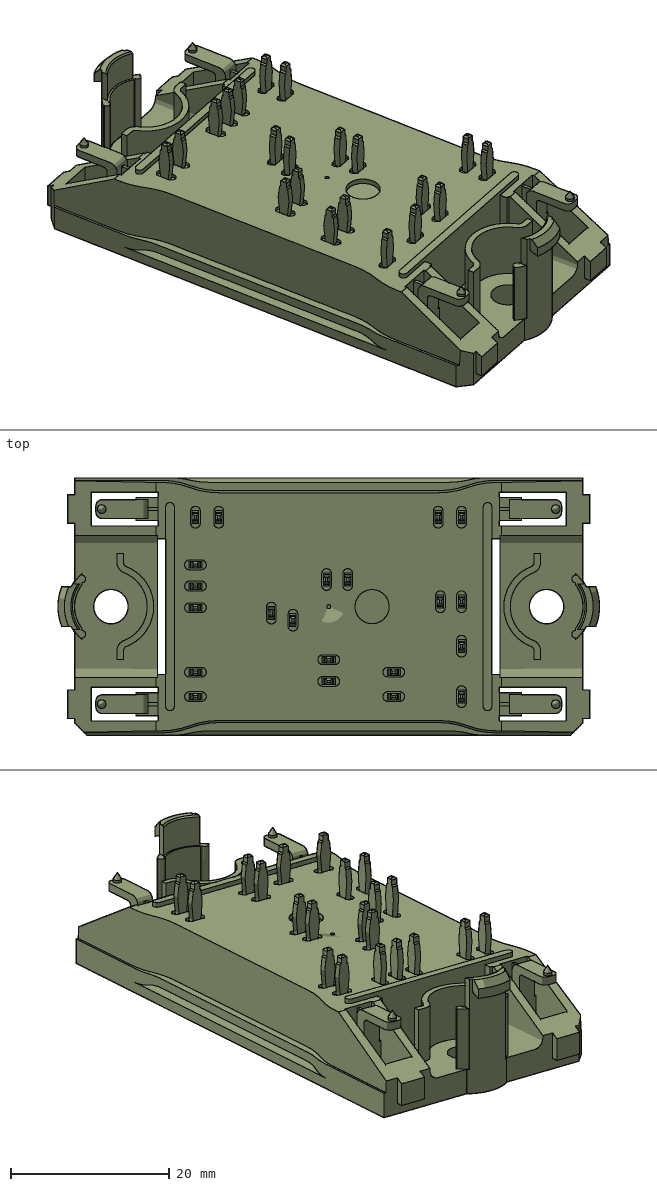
import cadquery as cq
import math

total_length = 68.4
total_height = 16.2

plate_length, plate_width, plate_thickness = 38.3, 27.2, 0.2

base_length, base_width = 64.15, 32.5
base_top = 3.55
deck_top = 11.15
deck_half_length = 21.8
end_height = 5.1
corner_cut_size = 1.6

upper_half_width = 15.95
waist_half_width = 14.65
waist_start_x, waist_end_x = 21.1, 13.9
side_draft = 2.0

flange_recess_half_length = 19.85
flange_waist_start_x, flange_waist_end_x = 19.85, 15.25
flange_waist_depth = 0.55
flange_recess_floor = 1.65
flange_floor_rise = 0.7

tab_reach = 33.0
tab_bottom = 1.65
tab_width = 3.6
corner_feature_y = 12.3

channel_half_width = 8.95
channel_fillet = 1.3
slot_half_width = 8.55
slot_outer_x, slot_inner_x = 21.6, 20.6
pocket_outer_x, pocket_inner_x = 29.95, 21.55
pocket_width = 4.25

mount_x = 27.5
mount_hole_diameter = 4.3

guard_radius = 5.0
guard_thickness = 0.8
guard_bend_radius = 1.0
guard_tail_x, guard_tail_y = 26.3, 6.7
guard_top = 10.8

clip_inner_radius, clip_outer_radius = 4.85, 5.6
clip_hook_radius = total_length / 2 - mount_x
clip_half_width, clip_foot_half_width = 2.9, 3.15
clip_top = 15.9
hook_half_width = 2.5
hook_root, hook_bottom, hook_shoulder = 14.1, 13.6, 14.9
hook_lead_in = 0.8
clip_edge_chamfer = 0.2
wing_radius = 5.05
wing_half_span = 3.5
wing_thickness = 0.95
wing_top = 11.75

arm_tip_x, arm_heel_x = 29.4, 22.85
arm_width = 2.4
arm_bottom, arm_top = 10.45, 11.55
arm_tip_fillet = 0.8
arm_bend_outer, arm_bend_inner = 1.1, 0.55
leg_outer_x = 24.35
leg_width = 2.95
foot_top = 6.85
stem_thickness, stem_top = 0.4, 10.8
nub_x = 28.65
nub_diameter = 1.1
nub_shoulder, nub_top = 11.9, 12.8

strip_outer_x, strip_width = 20.6, 1.1
strip_length, strip_height = 26.25, 0.6

recess_x, recess_diameter, recess_depth = 5.5, 4.3, 0.7
dimple_diameter, dimple_depth = 4.1, 0.4
gate_diameter, gate_depth = 0.5, 0.3

pin_thickness = 0.8
pin_root_width, pin_bulge_width = 1.2, 1.65
pin_neck_width, pin_tip_width = 0.9, 0.5
pin_bulge_z, pin_shoulder_z, pin_neck_z, pin_tip_z = 13.35, 15.05, 15.25, 15.95
pin_slot_length, pin_slot_width, pin_slot_depth = 2.75, 1.2, 0.4

pins_along_x = [
    (-16.8, 5.3), (-16.8, 2.6), (-16.8, -0.15), (-16.8, -8.3), (-16.8, -11.35),
    (0, -6.7), (0, -9.45), (8.2, -8.3), (8.2, -11.35),
]
pins_along_y = [
    (-16.8, 11.3), (-13.9, 11.3), (13.8, 11.3), (16.75, 11.3), (-0.3, 3.4), (2.4, 3.4),
    (-7.25, -0.8), (-4.5, -1.7), (14.1, 0.6), (16.75, 0.6), (16.75, -5.0), (16.75, -11.35),
]


def block(x_range, y_range, z_range):
    """Axis-aligned block between two limits on each axis."""
    spans = (x_range, y_range, z_range)
    size = [high - low for low, high in spans]
    corner = tuple(low for low, high in spans)
    return cq.Workplane("XY").box(*size, centered=False).translate(corner)


def both_ends(shape):
    """The shape together with its mirror image on the other end in X."""
    return shape.union(shape.mirror("YZ"))


def revolved(half_section, x, y):
    """Solid of revolution about a vertical axis from (radius, z) points."""
    return (
        cq.Workplane("XZ", origin=(x, y, 0))
        .polyline(half_section)
        .close()
        .revolve(360, (0, 0), (0, 1))
    )


def waisted_prism(half_length, wide_y, narrow_y, start_x, end_x, z_range, draft):
    """Block whose long sides narrow to a waist through pairs of tangent arcs."""
    bottom, top = z_range
    mid_x, mid_y = (start_x + end_x) / 2, (wide_y + narrow_y) / 2
    return (
        cq.Workplane("XY", origin=(0, 0, bottom))
        .moveTo(-half_length, 0)
        .lineTo(-half_length, wide_y)
        .lineTo(-start_x, wide_y)
        .tangentArcPoint((-mid_x, mid_y), relative=False)
        .tangentArcPoint((-end_x, narrow_y), relative=False)
        .lineTo(end_x, narrow_y)
        .tangentArcPoint((mid_x, mid_y), relative=False)
        .tangentArcPoint((start_x, wide_y), relative=False)
        .lineTo(half_length, wide_y)
        .lineTo(half_length, 0)
        .mirrorX()
        .extrude(top - bottom, taper=draft)
    )


def base_flange():
    """Lower slab, thinned along the middle of both long sides above a sloped floor."""
    slab = block(
        (-base_length / 2, base_length / 2), (-base_width / 2, base_width / 2), (plate_thickness, base_top)
    )
    edge_y = base_width / 2
    inner_y = edge_y - 2 * flange_waist_depth
    recess = (
        cq.Workplane("YZ", origin=(-flange_recess_half_length, 0, 0))
        .polyline([
            (edge_y, flange_recess_floor),
            (inner_y, flange_recess_floor + 2 * flange_floor_rise),
            (inner_y, base_top),
            (edge_y, base_top),
        ])
        .close()
        .extrude(2 * flange_recess_half_length)
    )
    recess = recess.union(recess.mirror("XZ"))
    kept = waisted_prism(
        base_length / 2, edge_y, edge_y - flange_waist_depth,
        flange_waist_start_x, flange_waist_end_x, (plate_thickness, base_top), 0,
    )
    return slab.cut(recess.cut(kept))


def end_slope(end_x):
    """Height of the sloped end faces at a distance from the middle."""
    steepness = (deck_top - end_height) / (base_length / 2 - deck_half_length)
    return deck_top - (end_x - deck_half_length) * steepness


def upper_body():
    """Drafted, waisted housing with its ends sloping down to the base."""
    body = waisted_prism(
        base_length, upper_half_width, waist_half_width,
        waist_start_x, waist_end_x, (base_top, deck_top), side_draft,
    )
    half = base_length / 2
    side_profile = (
        cq.Workplane("XZ", origin=(0, base_width / 2, 0))
        .polyline([
            (-half, base_top), (-half, end_height), (-deck_half_length, deck_top),
            (deck_half_length, deck_top), (half, end_height), (half, base_top),
        ])
        .close()
        .extrude(base_width)
    )
    return body.intersect(side_profile)


def end_tab(y):
    """Raised lug on the left end face whose top continues the end slope."""
    wall_x = base_length / 2
    return (
        cq.Workplane("XZ", origin=(0, y + tab_width / 2, 0))
        .polyline([
            (-wall_x, tab_bottom), (-tab_reach, tab_bottom),
            (-tab_reach, end_slope(tab_reach)), (-wall_x, end_height),
        ])
        .close()
        .extrude(tab_width)
    )


def end_openings():
    """Mounting channel, through slot, corner pockets and screw hole of the left end."""
    channel = block(
        (-base_length, -slot_outer_x), (-channel_half_width, channel_half_width), (base_top, total_height)
    )
    channel = channel.edges("|X and <Z").fillet(channel_fillet)
    slot = block((-slot_outer_x, -slot_inner_x), (-slot_half_width, slot_half_width), (0, total_height))
    openings = channel.union(slot)
    for y in (-corner_feature_y, corner_feature_y):
        openings = openings.union(block(
            (-pocket_outer_x, -pocket_inner_x),
            (y - pocket_width / 2, y + pocket_width / 2),
            (0, total_height),
        ))
    screw_hole = cq.Workplane("XY").center(-mount_x, 0).circle(mount_hole_diameter / 2).extrude(base_top)
    return openings.union(screw_hole)


def screw_guard():
    """Thin wall curving round the inner side of the screw hole, with straight tails."""
    bend_x = -guard_tail_x + guard_bend_radius
    centre_distance = guard_radius + guard_bend_radius
    bend_y = math.sqrt(centre_distance**2 - (bend_x + mount_x) ** 2)
    join_x = -mount_x + (bend_x + mount_x) * guard_radius / centre_distance
    join_y = bend_y * guard_radius / centre_distance
    path = (
        cq.Workplane("XY", origin=(0, 0, base_top))
        .moveTo(-guard_tail_x, guard_tail_y)
        .lineTo(-guard_tail_x, bend_y)
        .tangentArcPoint((join_x, join_y), relative=False)
        .threePointArc((-mount_x + guard_radius, 0), (join_x, -join_y))
        .tangentArcPoint((-guard_tail_x, -bend_y), relative=False)
        .lineTo(-guard_tail_x, -guard_tail_y)
    )
    height = guard_top - base_top
    return (
        cq.Workplane("XZ", origin=(-guard_tail_x, guard_tail_y, base_top))
        .center(0, height / 2)
        .rect(guard_thickness, height)
        .sweep(path)
    )


def snap_clip():
    """Upright curved latch on the end face, with an outward hook and lower side wings."""
    crest_radius = clip_hook_radius - hook_lead_in
    wall = revolved([
        (clip_inner_radius, plate_thickness),
        (clip_outer_radius, plate_thickness),
        (clip_outer_radius, clip_top),
        (clip_inner_radius + clip_edge_chamfer, clip_top),
        (clip_inner_radius, clip_top - clip_edge_chamfer),
    ], -mount_x, 0)
    hook = revolved([
        (clip_inner_radius + clip_edge_chamfer, hook_root),
        (clip_outer_radius, hook_root),
        (clip_hook_radius, hook_bottom),
        (clip_hook_radius, hook_shoulder),
        (crest_radius, clip_top),
        (clip_inner_radius + clip_edge_chamfer, clip_top),
    ], -mount_x, 0)

    def sector(half_width, z_range):
        """Block that keeps the outward middle part of a ring round the screw hole."""
        return block((-total_length / 2, -mount_x), (-half_width, half_width), z_range)

    full_height = (0, total_height)
    latch = wall.intersect(sector(clip_half_width, full_height))
    latch = latch.union(wall.intersect(sector(clip_foot_half_width, (0, base_top))))
    latch = latch.union(hook.intersect(sector(hook_half_width, full_height)))

    tip_x = -mount_x - math.sqrt(wing_radius**2 - wing_half_span**2)
    height = wing_top - base_top
    wings = (
        cq.Workplane("XY", origin=(-mount_x, 0, base_top))
        .circle(wing_radius + wing_thickness / 2)
        .circle(wing_radius - wing_thickness / 2)
        .extrude(height)
        .intersect(block((-total_length / 2, tip_x), (-base_width, base_width), (0, total_height)))
    )
    tips = (
        cq.Workplane("XY", origin=(tip_x, 0, base_top))
        .pushPoints([(0, -wing_half_span), (0, wing_half_span)])
        .circle(wing_thickness / 2)
        .extrude(height)
    )
    return latch.union(wings).union(tips)


def spring_arm(y):
    """Bent cantilever arm over a corner pocket, with a pointed nub on its tip."""
    side = cq.Workplane("XZ", origin=(0, y + arm_width / 2, 0))
    arm = (
        side.moveTo(-arm_tip_x, arm_bottom)
        .lineTo(-arm_tip_x, arm_top)
        .lineTo(-arm_heel_x - arm_bend_outer, arm_top)
        .radiusArc((-arm_heel_x, arm_top - arm_bend_outer), arm_bend_outer)
        .lineTo(-arm_heel_x, plate_thickness)
        .lineTo(-leg_outer_x, plate_thickness)
        .lineTo(-leg_outer_x, arm_bottom - arm_bend_inner)
        .radiusArc((-leg_outer_x - arm_bend_inner, arm_bottom), -arm_bend_inner)
        .close()
        .extrude(arm_width)
        .edges("|Z and <X")
        .fillet(arm_tip_fillet)
    )
    foot = block(
        (-leg_outer_x, -pocket_inner_x), (y - leg_width / 2, y + leg_width / 2), (plate_thickness, foot_top)
    )
    stem = block(
        (-arm_heel_x, -pocket_inner_x),
        (y - stem_thickness / 2, y + stem_thickness / 2),
        (foot_top, stem_top),
    )
    nub_radius = nub_diameter / 2
    nub = revolved(
        [(0, arm_bottom), (nub_radius, arm_bottom), (nub_radius, nub_shoulder), (0, nub_top)], -nub_x, y
    )
    return arm.union(foot).union(stem).union(nub)


def deck_strip():
    """Raised round-ended bar across the left edge of the deck."""
    return (
        cq.Workplane("XY", origin=(-strip_outer_x + strip_width / 2, 0, deck_top))
        .slot2D(strip_length, strip_width, 90)
        .extrude(strip_height)
    )


def deck_marks():
    """Round flat recess, plus a conical dimple with a small gate hole in its middle."""
    recess_floor = deck_top - recess_depth
    recess = (
        cq.Workplane("XY", origin=(recess_x, 0, recess_floor))
        .circle(recess_diameter / 2)
        .extrude(recess_depth)
    )
    dimple_floor = deck_top - dimple_depth
    gate_radius = gate_diameter / 2
    dimple = revolved([
        (0, deck_top),
        (dimple_diameter / 2, deck_top),
        (gate_radius, dimple_floor),
        (gate_radius, dimple_floor - gate_depth),
        (0, dimple_floor - gate_depth),
    ], 0, 0)
    return recess.union(dimple)


def pin(x, y, turn):
    """Press-fit contact pin, bulged across its wide side and stepped in to a blunt tip."""
    root_z = deck_top - pin_slot_depth
    right_side = [
        (pin_root_width / 2, root_z), (pin_root_width / 2, deck_top), (pin_bulge_width / 2, pin_bulge_z),
        (pin_root_width / 2, pin_shoulder_z), (pin_neck_width / 2, pin_neck_z),
        (pin_neck_width / 2, pin_tip_z), (pin_tip_width / 2, total_height),
    ]
    left_side = [(-half_width, z) for half_width, z in reversed(right_side)]
    blade = (
        cq.Workplane("XZ", origin=(0, pin_thickness / 2, 0))
        .polyline(right_side + left_side)
        .close()
        .extrude(pin_thickness)
        .faces(">Z")
        .edges("|X")
        .chamfer(total_height - pin_tip_z, (pin_thickness - pin_tip_width) / 2)
    )
    return blade.rotate((0, 0, 0), (0, 0, 1), turn).translate((x, y, 0))


def pin_slot(x, y, turn):
    """Round-ended well in the deck round the root of one pin."""
    return (
        cq.Workplane("XY", origin=(x, y, deck_top - pin_slot_depth))
        .slot2D(pin_slot_length, pin_slot_width, turn)
        .extrude(pin_slot_depth)
    )


def corner_cut():
    """Wedge that takes off the left corner on the -Y side."""
    corner_x, corner_y = -base_length / 2, -base_width / 2
    return (
        cq.Workplane("XY")
        .polyline([
            (corner_x, corner_y),
            (corner_x + corner_cut_size, corner_y),
            (corner_x, corner_y + corner_cut_size),
        ])
        .close()
        .extrude(total_height)
    )


plate = block(
    (-plate_length / 2, plate_length / 2), (-plate_width / 2, plate_width / 2), (0, plate_thickness)
)
result = base_flange().union(upper_body()).union(plate)
result = result.cut(both_ends(end_openings().union(corner_cut())))

end_features = screw_guard().union(snap_clip()).union(deck_strip())
for feature_y in (-corner_feature_y, corner_feature_y):
    end_features = end_features.union(end_tab(feature_y)).union(spring_arm(feature_y))
result = result.union(both_ends(end_features))

result = result.cut(deck_marks())
pin_places = [(x, y, 0) for x, y in pins_along_x] + [(x, y, 90) for x, y in pins_along_y]
for place in pin_places:
    result = result.cut(pin_slot(*place))
for place in pin_places:
    result = result.union(pin(*place))